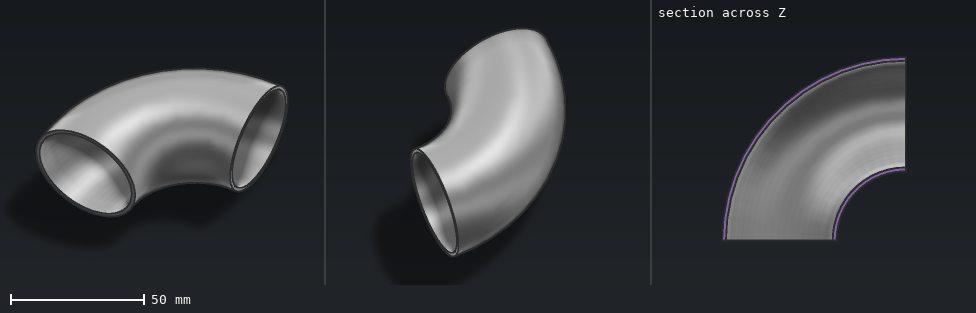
import cadquery as cq

outer_side = 69.0
outer_diameter = 43.0
wall_thickness = 1.5
bend_angle = 90.0

outer_radius = outer_diameter / 2
inner_radius = outer_radius - wall_thickness
bend_radius = outer_side - outer_radius


def pipe_elbow():
    """Sweep the pipe ring around the bend axis, which is the Z axis.

    One open end faces -Y and the other faces +X.
    """
    ring = (
        cq.Workplane("XZ")
        .center(-bend_radius, 0)
        .circle(outer_radius)
        .circle(inner_radius)
    )
    axis_start = (bend_radius, 0)
    axis_end = (bend_radius, -1)
    return ring.revolve(bend_angle, axis_start, axis_end)


result = pipe_elbow()